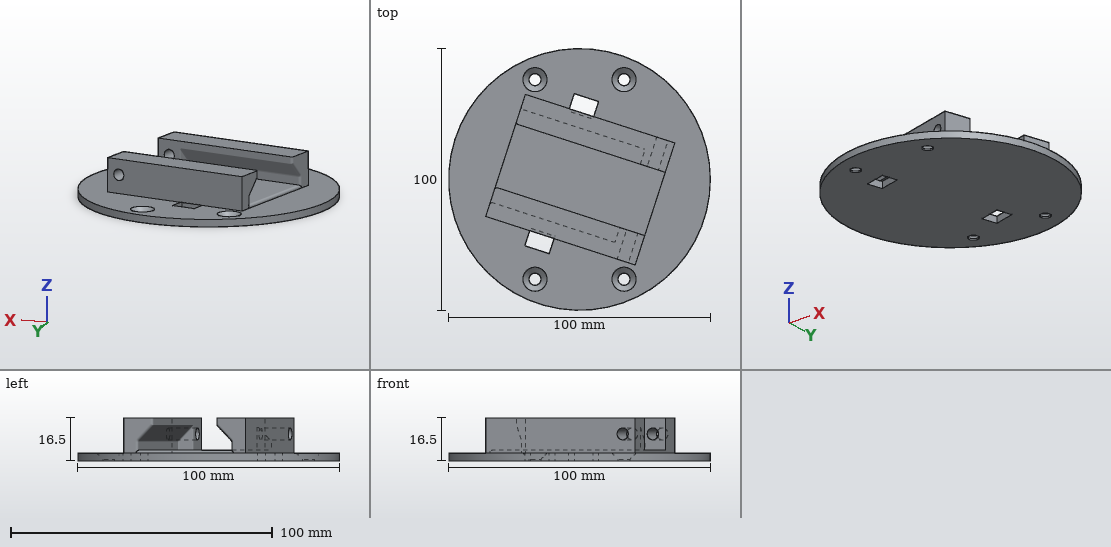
import cadquery as cq

PLATE_DIAMETER = 100.0
PLATE_THICKNESS = 3.0
SCREW_SPACING_X = 34.0
SCREW_SPACING_Y = 76.2
SCREW_HOLE_DIAMETER = 4.5
COUNTERSINK_DIAMETER = 9.2
COUNTERSINK_ANGLE = 90.0

HOLDER_ANGLE = -18.0
HOLDER_LENGTH = 60.0
HOLDER_WIDTH = 49.0
HOLDER_HEIGHT = 13.5
HOLDER_SHIFT = 0.3
FLOOR_THICKNESS = 1.2

SLOT_LENGTH = 9.7
SLOT_OVERLAP = 1.0
SLOT_WIDTH = 7.0
SLOT_CENTER_X = -7.45

CHANNEL_WIDTH = 25.4
UNDERCUT_WIDTH = 37.4
UNDERCUT_WALL_HEIGHT = 3.4
STOP_LENGTH = 10.0
ENTRY_RADIUS = 1.0
SLOPE_RADIUS = 1.0
STOP_CORNER_RADIUS = 0.5
STOP_EDGE_RADIUS = 0.25

CROSS_HOLE_DIAMETER = 4.5
CROSS_HOLE_FROM_END = 5.0

HOLDER_START = -HOLDER_LENGTH / 2
HOLDER_END = HOLDER_LENGTH / 2
STOP_X = HOLDER_END - STOP_LENGTH
SLOPE_RISE = (UNDERCUT_WIDTH - CHANNEL_WIDTH) / 2
SLOPE_START_Z = FLOOR_THICKNESS + UNDERCUT_WALL_HEIGHT
SLOPE_END_Z = SLOPE_START_Z + SLOPE_RISE
CROSS_HOLE_Z = (FLOOR_THICKNESS + HOLDER_HEIGHT) / 2


def place_on_plate(local_shape):
    """Move a shape from the holder's local axes to its turned place on the plate."""
    shifted = local_shape.translate((HOLDER_SHIFT, 0, PLATE_THICKNESS))
    return shifted.rotate((0, 0, 0), (0, 0, 1), HOLDER_ANGLE)


def make_slots():
    slot_y = (HOLDER_WIDTH + SLOT_WIDTH) / 2 - SLOT_OVERLAP
    slots = (
        cq.Workplane("XY")
        .pushPoints([(SLOT_CENTER_X, -slot_y), (SLOT_CENTER_X, slot_y)])
        .rect(SLOT_LENGTH, SLOT_WIDTH)
        .extrude(-PLATE_THICKNESS)
    )
    return place_on_plate(slots)


def make_plate():
    disc = cq.Workplane("XY").circle(PLATE_DIAMETER / 2).extrude(PLATE_THICKNESS)
    drilled = (
        disc.faces(">Z").workplane()
        .rect(SCREW_SPACING_X, SCREW_SPACING_Y, forConstruction=True)
        .vertices()
        .cskHole(SCREW_HOLE_DIAMETER, COUNTERSINK_DIAMETER, COUNTERSINK_ANGLE)
    )
    return drilled.cut(make_slots())


def make_undercut():
    """Space with sloped shoulders, from the open end to the stop face."""
    half_wide = UNDERCUT_WIDTH / 2
    half_narrow = CHANNEL_WIDTH / 2
    space = (
        cq.Workplane("YZ", origin=(HOLDER_START, 0, 0))
        .moveTo(-half_wide, FLOOR_THICKNESS)
        .lineTo(half_wide, FLOOR_THICKNESS)
        .lineTo(half_wide, SLOPE_START_Z)
        .lineTo(half_narrow, SLOPE_END_Z)
        .lineTo(-half_narrow, SLOPE_END_Z)
        .lineTo(-half_wide, SLOPE_START_Z)
        .close()
        .extrude(STOP_X - HOLDER_START)
    )
    shoulder_middle_x = (HOLDER_START + STOP_X) / 2
    for side in (-1, 1):
        shoulder = cq.selectors.NearestToPointSelector((shoulder_middle_x, side * half_wide, SLOPE_START_Z))
        space = space.edges(shoulder).fillet(SLOPE_RADIUS)
    end_edges = space.faces(">X").edges("not(<Z or >Z)")
    return end_edges.fillet(STOP_CORNER_RADIUS)


def make_holder():
    block = cq.Workplane("XY").box(
        HOLDER_LENGTH, HOLDER_WIDTH, HOLDER_HEIGHT, centered=(True, True, False)
    )
    channel = cq.Workplane("XY", origin=(0, 0, FLOOR_THICKNESS)).box(
        HOLDER_LENGTH, CHANNEL_WIDTH, HOLDER_HEIGHT, centered=(True, True, False)
    )
    cradle = block.cut(channel).cut(make_undercut())

    margin = (HOLDER_WIDTH - UNDERCUT_WIDTH) / 4
    entry_edges = cq.selectors.BoxSelector(
        (HOLDER_START - margin, -UNDERCUT_WIDTH / 2 - margin, FLOOR_THICKNESS / 2),
        (HOLDER_START + margin, UNDERCUT_WIDTH / 2 + margin, HOLDER_HEIGHT - FLOOR_THICKNESS / 2),
    )
    cradle = cradle.faces("<X").edges(entry_edges).fillet(ENTRY_RADIUS)

    stop_edge_z = (FLOOR_THICKNESS + SLOPE_END_Z) / 2
    for side in (-1, 1):
        stop_edge = cq.selectors.NearestToPointSelector((STOP_X, side * CHANNEL_WIDTH / 2, stop_edge_z))
        cradle = cradle.edges("|Z").edges(stop_edge).fillet(STOP_EDGE_RADIUS)

    cross_hole = (
        cq.Workplane("XZ", origin=(HOLDER_END - CROSS_HOLE_FROM_END, 0, CROSS_HOLE_Z))
        .circle(CROSS_HOLE_DIAMETER / 2)
        .extrude(HOLDER_WIDTH / 2, both=True)
    )
    return place_on_plate(cradle.cut(cross_hole))


plate = make_plate()
holder = make_holder()

result = cq.Compound.makeCompound([plate.val(), holder.val()])